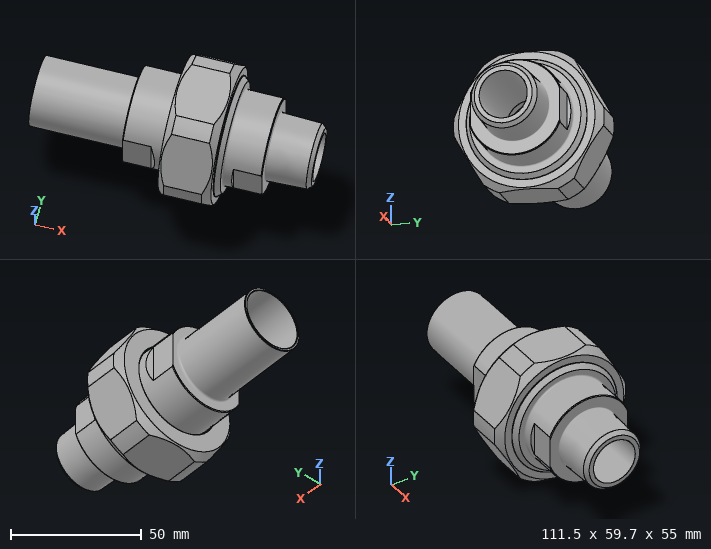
import cadquery as cq

LENGTH = 111.5

collar_diameter = 38.0
edge_chamfer = 0.3

pipe_diameter = 28.0
pipe_bore = 25.6
pipe_end_chamfer = 0.2
pipe_fillet = 0.9
seat_bore = 24.2
tail_collar_x = 38.1
tail_flat_end_x = 49.4
tail_flat_width = 34.0
flange_diameter = 44.8
flange_thickness = 6.7

nut_x = 54.9
nut_length = 21.1
nut_across_flats = 55.0
nut_corner_diameter = 59.7
nut_face_diameter = 54.0
nut_chamfer_length = 3.0
nut_wall = 3.9
nut_hole = 38.5
nut_hole_chamfer = 0.3
thread_diameter = 47.7

thread_protrusion = 0.3
thread_end_diameter = 44.0
thread_chamfer_length = 2.0
body_fillet = 0.7
body_collar_end_x = 93.5
body_flat_start_x = 82.3
body_flat_width = 35.2
body_flat_runout = 0.3
spigot_root_diameter = 27.0
spigot_end_diameter = 26.0
spigot_fillet = 0.3
spigot_chamfer_length = 1.7
spigot_face_diameter = 22.9
body_bore = 19.0
bore_cone_length = 4.5

nut_end_x = nut_x + nut_length
flange_x = nut_x + nut_wall
joint_x = flange_x + flange_thickness
thread_chamfer_x = nut_end_x + thread_protrusion
body_collar_x = thread_chamfer_x + thread_chamfer_length
spigot_chamfer_x = LENGTH - spigot_chamfer_length


def revolve_profile(sketch):
    """Close an (X, radius) outline and turn it about the X axis."""
    return sketch.close().revolve(360, (0, 0, 0), (1, 0, 0))


def turned(points):
    """Solid of revolution from straight-sided (X, diameter) points."""
    return revolve_profile(cq.Workplane("XY").polyline([(x, d / 2) for x, d in points]))


def concave_fillet(sketch, start, end, corner):
    """Line to start, then a quarter arc to end that curves in toward the corner point."""
    along = 0.5 ** 0.5
    center = [s + e - c for s, e, c in zip(start, end, corner)]
    middle = tuple(m + along * (c - m) for m, c in zip(center, corner))
    return sketch.lineTo(*start).threePointArc(middle, end)


def wrench_flats(body, outline, width):
    """Cut an (X, depth) outline, measured from the flat, on the +Y and -Y sides."""
    for side in (1, -1):
        points = [(x, side * (width / 2 + depth)) for x, depth in outline]
        cutter = (
            cq.Workplane("XY").polyline(points).close()
            .extrude(collar_diameter / 2, both=True)
        )
        body = body.cut(cutter)
    return body


def make_tailpiece():
    pipe_radius = pipe_diameter / 2
    collar_radius = collar_diameter / 2
    flange_radius = flange_diameter / 2
    outline = (
        cq.Workplane("XY").moveTo(0, 0)
        .lineTo(0, pipe_radius - pipe_end_chamfer)
        .lineTo(pipe_end_chamfer, pipe_radius)
    )
    outline = concave_fillet(
        outline,
        start=(tail_collar_x - pipe_fillet, pipe_radius),
        end=(tail_collar_x, pipe_radius + pipe_fillet),
        corner=(tail_collar_x, pipe_radius),
    )
    outline = (
        outline.lineTo(tail_collar_x, collar_radius - edge_chamfer)
        .lineTo(tail_collar_x + edge_chamfer, collar_radius)
        .lineTo(flange_x, collar_radius)
        .lineTo(flange_x, flange_radius)
        .lineTo(joint_x, flange_radius)
        .lineTo(joint_x, 0)
    )
    bore = turned([(0, 0), (0, pipe_bore + 2 * pipe_end_chamfer), (pipe_end_chamfer, pipe_bore),
                   (flange_x, pipe_bore), (flange_x, seat_bore),
                   (joint_x, seat_bore), (joint_x, 0)])
    tailpiece = revolve_profile(outline).cut(bore)

    clearance = (collar_diameter - tail_flat_width) / 2
    flat = [(tail_collar_x, 0), (tail_flat_end_x, 0),
            (tail_flat_end_x + clearance, clearance), (tail_collar_x, clearance)]
    return wrench_flats(tailpiece, flat, tail_flat_width)


def make_nut():
    across_corners = nut_across_flats / (0.75 ** 0.5)
    hexagon = (
        cq.Workplane("YZ", origin=(nut_x, 0, 0))
        .polygon(6, across_corners)
        .extrude(nut_length)
    )
    envelope = turned([
        (nut_x, 0), (nut_x, nut_face_diameter),
        (nut_x + nut_chamfer_length, nut_corner_diameter),
        (nut_end_x - nut_chamfer_length, nut_corner_diameter),
        (nut_end_x, nut_face_diameter), (nut_end_x, 0),
    ])
    bore = turned([(nut_x, 0), (nut_x, nut_hole + 2 * nut_hole_chamfer),
                   (nut_x + nut_hole_chamfer, nut_hole), (flange_x, nut_hole),
                   (flange_x, thread_diameter), (nut_end_x, thread_diameter), (nut_end_x, 0)])
    return hexagon.intersect(envelope).cut(bore)


def make_threaded_body():
    collar_radius = collar_diameter / 2
    spigot_radius = spigot_root_diameter / 2
    outline = (
        cq.Workplane("XY").moveTo(joint_x, 0)
        .lineTo(joint_x, thread_diameter / 2)
        .lineTo(thread_chamfer_x, thread_diameter / 2)
        .lineTo(body_collar_x, thread_end_diameter / 2)
    )
    outline = concave_fillet(
        outline,
        start=(body_collar_x, collar_radius + body_fillet),
        end=(body_collar_x + body_fillet, collar_radius),
        corner=(body_collar_x, collar_radius),
    )
    outline = (
        outline.lineTo(body_collar_end_x - edge_chamfer, collar_radius)
        .lineTo(body_collar_end_x, collar_radius - edge_chamfer)
    )
    outline = concave_fillet(
        outline,
        start=(body_collar_end_x, spigot_radius + spigot_fillet),
        end=(body_collar_end_x + spigot_fillet, spigot_radius),
        corner=(body_collar_end_x, spigot_radius),
    )
    outline = (
        outline.lineTo(spigot_chamfer_x, spigot_end_diameter / 2)
        .lineTo(LENGTH, spigot_face_diameter / 2)
        .lineTo(LENGTH, 0)
    )
    bore = turned([(joint_x, 0), (joint_x, seat_bore), (joint_x + bore_cone_length, body_bore),
                   (LENGTH, body_bore), (LENGTH, 0)])
    body = revolve_profile(outline).cut(bore)

    clearance = (collar_diameter - body_flat_width) / 2
    flat = [(body_collar_end_x, 0), (body_flat_start_x, 0),
            (body_flat_start_x - body_flat_runout, clearance), (body_collar_end_x, clearance)]
    return wrench_flats(body, flat, body_flat_width)


tailpiece = make_tailpiece()
nut = make_nut()
threaded_body = make_threaded_body()

result = cq.Compound.makeCompound([tailpiece.val(), nut.val(), threaded_body.val()])